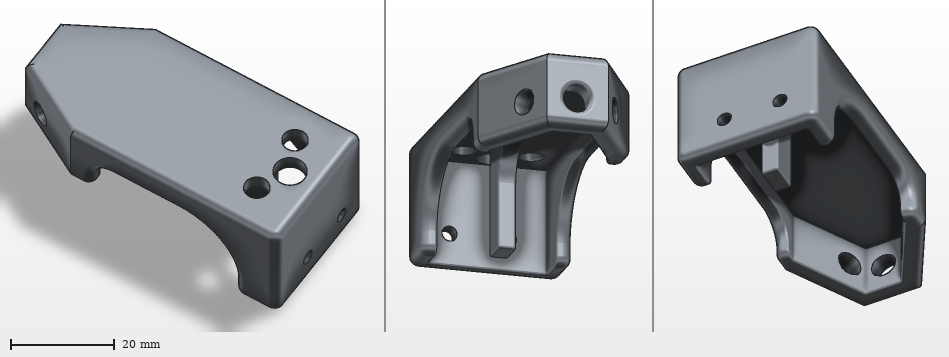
import cadquery as cq
import math

length = 63.85
width = 30.4
height = 24.6

taper_length = 16.2
tip_width = 12.4
nose_length = 21.1
nose_height = 15.0

wall = 3.2
nose_wall = 4.0
outer_radius = 2.0
inner_radius = 0.5

arch_drop = 6.95
front_arch_radius = 5.0
rear_arch_radius = 13.0
leg_length = 9.8

post_rear_x = 53.2
post_length = 6.0
post_width = 3.65
post_root_radius = 8.0

bore_diameter = 5.2
bore_drop = 9.0
bore_lip_radius = 1.0
side_hole_x = 5.35

large_hole_diameter = 6.6
large_hole_x = 56.9
small_hole_diameter = 5.1
small_hole_x = 53.6
small_hole_spacing = 13.55

screw_diameter = 3.0
screw_spacing = 12.0
screw_offset_y = 1.6
screw_z = 6.7

tolerance = 0.005
nose_bottom = height - nose_height
ceiling_z = height - wall
bore_z = height - bore_drop
arch_top = height - arch_drop
leg_x = length - leg_length
taper_angle = math.atan2((width - tip_width) / 2, taper_length)


def tapered_plan(front_x, tip_half, shoulder_x, rear_x, half_width):
    """Symmetric plan outline: a rectangle whose front end tapers to a flat tip."""
    return cq.Workplane("XY").polyline([
        (front_x, -tip_half),
        (shoulder_x, -half_width),
        (rear_x, -half_width),
        (rear_x, half_width),
        (shoulder_x, half_width),
        (front_x, tip_half),
    ]).close()


def is_arch_line(edge):
    """True for a cross line in the arch, away from its two lower corners."""
    middle = edge.Center()
    inside_span = nose_length - tolerance < middle.x < leg_x + tolerance
    lower_corner = abs(middle.z - nose_bottom) < tolerance or middle.z < tolerance
    return inside_span and middle.z < height - tolerance and not lower_corner


def outer_body():
    """Solid body with the arch cut across it and its outer edges rounded."""
    profile = (
        cq.Workplane("XZ")
        .moveTo(0, height)
        .lineTo(0, nose_bottom)
        .lineTo(nose_length, nose_bottom)
        .lineTo(nose_length, arch_top - front_arch_radius)
        .radiusArc((nose_length + front_arch_radius, arch_top), front_arch_radius)
        .lineTo(leg_x - rear_arch_radius, arch_top)
        .radiusArc((leg_x, arch_top - rear_arch_radius), rear_arch_radius)
        .lineTo(leg_x, 0)
        .lineTo(length, 0)
        .lineTo(length, height)
        .close()
        .extrude(width / 2, both=True)
    )
    plan = tapered_plan(0, tip_width / 2, taper_length, length, width / 2)
    body = plan.extrude(height).intersect(profile)

    arch_lines = body.edges("|Y").filter(is_arch_line)
    taper_corners = body.edges("|Z").edges(
        cq.selectors.BoxSelector((-0.65, -width, 0), (taper_length + 0.65, width, height))
    )
    kept = arch_lines.vals() + taper_corners.vals()
    rounded = [edge for edge in body.edges().vals() if not any(edge.isSame(k) for k in kept)]
    return body.newObject(rounded).fillet(outer_radius)


def pocket():
    """Hollow inside the body, following its plan with a thicker wall around the nose."""
    half_width = width / 2 - wall
    taper_slope = math.tan(taper_angle)
    taper_start = tip_width / 2 - nose_wall / math.cos(taper_angle)
    tip_half = taper_start + nose_wall * taper_slope
    shoulder_x = (half_width - taper_start) / taper_slope
    return (
        tapered_plan(nose_wall, tip_half, shoulder_x, length - wall, half_width)
        .extrude(ceiling_z)
        .edges("|Z")
        .fillet(inner_radius)
    )


def hollow_body():
    """Body with the pocket removed and the lower rim of the pocket softened."""
    hollow = pocket()
    shell = outer_body().cut(hollow)
    hollow_shape = hollow.val()

    def is_rim(edge):
        middle = cq.Vertex.makeVertex(*edge.positionAt(0.5).toTuple())
        on_hollow = hollow_shape.distance(middle) < tolerance
        upright = edge.geomType() == "LINE" and abs(edge.tangentAt(0.5).z) > 0.99
        return on_hollow and not upright and middle.Z < ceiling_z - tolerance

    return shell.edges().filter(is_rim).fillet(inner_radius)


def post():
    """Post with a large concave root on its front side."""
    front_x = post_rear_x - post_length
    root_x = front_x - post_root_radius
    root_top = ceiling_z + wall / 2
    blank = (
        cq.Workplane("XZ")
        .moveTo(front_x, 0)
        .lineTo(front_x, ceiling_z - post_root_radius)
        .radiusArc((root_x, ceiling_z), -post_root_radius)
        .lineTo(root_x, root_top)
        .lineTo(post_rear_x, root_top)
        .lineTo(post_rear_x, 0)
        .close()
        .extrude(post_width / 2, both=True)
    )
    lower_end = blank.faces("<Z").edges()
    long_edges = blank.edges("not |Y").filter(
        lambda edge: tolerance < edge.Center().z < ceiling_z
    )
    return blank.newObject(lower_end.vals() + long_edges.vals()).fillet(inner_radius)


def vertical_hole(x, y, diameter):
    """Hole straight down through everything below the top face."""
    return cq.Workplane("XY").center(x, y).circle(diameter / 2).extrude(height)


def nose_bore():
    """Bore along X through the tip wall."""
    return cq.Workplane("YZ").center(0, bore_z).circle(bore_diameter / 2).extrude(nose_length)


def nose_side_hole(side):
    """Hole square to one tapered wall, ending in the hollow nose."""
    entry_y = tip_width / 2 + side_hole_x * math.tan(taper_angle)
    inward = cq.Vector(math.sin(taper_angle), -side * math.cos(taper_angle), 0)
    entry = cq.Vector(side_hole_x, side * entry_y, bore_z)
    start = entry - inward * nose_wall
    return cq.Workplane(cq.Solid.makeCylinder(bore_diameter / 2, 2.5 * nose_wall, start, inward))


def screw_hole(y):
    """Hole along X through the rear wall."""
    start_x = length - 1.5 * wall
    return (
        cq.Workplane("YZ", origin=(start_x, y, screw_z))
        .circle(screw_diameter / 2)
        .extrude(2 * wall)
    )


def round_bore_lip(part):
    """Round the outer lip of the bore on the tip face."""
    lip = cq.selectors.BoxSelector((-0.65, -bore_diameter, 0), (0.65, bore_diameter, height))
    return part.faces("<X").edges("%CIRCLE").edges(lip).fillet(bore_lip_radius)


result = hollow_body().union(post())
result = result.cut(vertical_hole(large_hole_x, 0, large_hole_diameter))
result = round_bore_lip(result.cut(nose_bore()))
for side in (-1, 1):
    result = result.cut(vertical_hole(small_hole_x, side * small_hole_spacing / 2, small_hole_diameter))
    result = result.cut(nose_side_hole(side))
    result = result.cut(screw_hole(screw_offset_y + side * screw_spacing / 2))